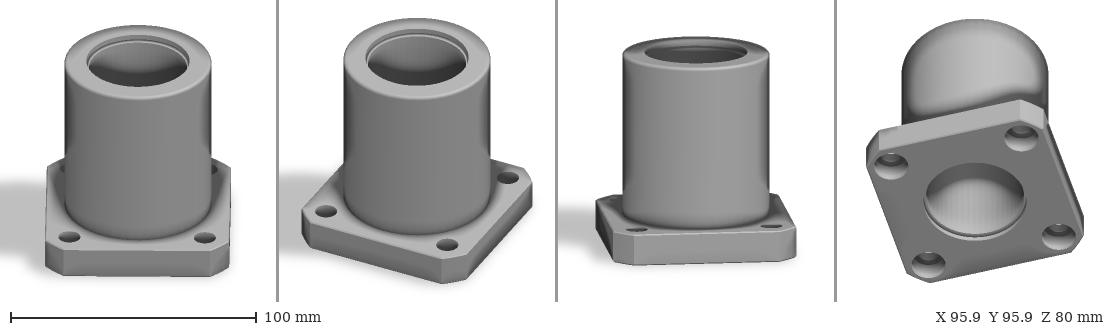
import cadquery as cq

flange_diameter = 95.9
flange_across_flats = 75.0
flange_thickness = 12.95
flange_chamfer = 0.5

total_height = 80.0
sleeve_diameter = 60.0
sleeve_edge_radius = 1.3
bore_diameter = 40.0
recess_diameter = 42.0
recess_depth = 3.1
groove_diameter = 44.0
groove_width = 1.0

bolt_circle_diameter = 78.0
hole_diameter = 9.0
counterbore_diameter = 14.0
counterbore_depth = 8.2


def make_flange():
    square = (
        cq.Workplane("XY")
        .rect(flange_across_flats, flange_across_flats)
        .extrude(flange_thickness)
        .rotate((0, 0, 0), (0, 0, 1), 45)
    )
    disc = cq.Workplane("XY").circle(flange_diameter / 2).extrude(flange_thickness)
    return square.intersect(disc).faces("<Z or >Z").edges().chamfer(flange_chamfer)


def make_sleeve():
    sleeve = cq.Workplane("XY").circle(sleeve_diameter / 2).extrude(total_height)
    return sleeve.faces(">Z").edges().fillet(sleeve_edge_radius)


def cylinder(diameter, bottom, height):
    return cq.Workplane("XY").workplane(offset=bottom).circle(diameter / 2).extrude(height)


def mounting_holes():
    positions = cq.Workplane("XY").polarArray(bolt_circle_diameter / 2, 0, 360, 4)
    holes = positions.circle(hole_diameter / 2).extrude(flange_thickness)
    counterbores = positions.circle(counterbore_diameter / 2).extrude(counterbore_depth)
    return holes.union(counterbores)


bore = cylinder(bore_diameter, 0, total_height)
top_recess = cylinder(recess_diameter, total_height - recess_depth, recess_depth)
bottom_recess = cylinder(recess_diameter, 0, recess_depth)
top_groove = cylinder(groove_diameter, total_height - recess_depth, groove_width)
bottom_groove = cylinder(groove_diameter, recess_depth - groove_width, groove_width)

result = make_flange().union(make_sleeve())
cutters = (bore, top_recess, top_groove, bottom_recess, bottom_groove, mounting_holes())
for cutter in cutters:
    result = result.cut(cutter)